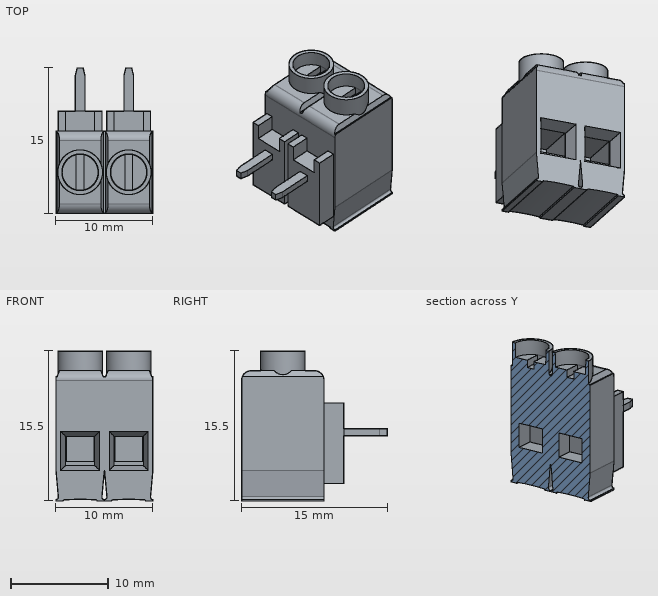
import cadquery as cq
import math


width = 10.0
depth = 8.5
body_height = 13.44
top_round = 1.0
pole_centers = (-width / 4, width / 4)

groove_top_width = 0.75
groove_floor_width = 0.23
groove_depth = 0.62

slit_top = 3.17
bulb_radius = 0.25
bulb_height = 0.42

arch_width = 3.55
arch_end_width = 3.37
arch_end_height = 0.12
arch_height = 0.19

entry_size = 4.0
entry_throat = 3.0
entry_depth = 1.5
entry_center_height = 5.18
chamber_width = 2.85
chamber_floor = 4.06
chamber_depth = 4.64

total_height = 15.45
collar_diameter = 4.6
bore_top_diameter = 3.79
bore_floor_diameter = 3.7
bore_depth = 1.58
driver_slot_width = 0.8
driver_slot_depth = 0.8

carrier_width = 4.53
carrier_depth = 2.04
carrier_bottom = 1.82
carrier_top = 10.12
channel_depth = 1.7

total_depth = 15.0
pin_width = 1.02
pin_tip_width = 0.62
pin_tip_length = 0.8
pin_bottom = 6.72
pin_thickness = 0.74


def box(x_center, x_size, y_start, y_size, z_start, z_size):
    """Box centred in X, starting at the given Y and Z."""
    return cq.Workplane("XY").box(x_size, y_size, z_size, centered=(True, False, False)).translate(
        (x_center, y_start, z_start)
    )


def through_depth(outline):
    """Extrude an XZ outline from the wire-entry face to the rear face."""
    return outline.close().extrude(-depth)


def top_groove(x):
    top = groove_top_width / 2
    floor = groove_floor_width / 2
    floor_height = body_height - groove_depth
    return through_depth(
        cq.Workplane("XZ").polyline(
            [
                (x - top, body_height),
                (x - floor, floor_height),
                (x + floor, floor_height),
                (x + top, body_height),
            ]
        )
    )


def relief_slit(x):
    wedge = through_depth(
        cq.Workplane("XZ").polyline(
            [
                (x, slit_top),
                (x - bulb_radius, bulb_height),
                (x + bulb_radius, bulb_height),
            ]
        )
    )
    bulb = cq.Workplane("XZ").center(x, bulb_height).circle(bulb_radius).extrude(-depth)
    return wedge.union(bulb)


def foot_arch(x):
    return through_depth(
        cq.Workplane("XZ")
        .moveTo(x - arch_width / 2, 0)
        .lineTo(x - arch_end_width / 2, arch_end_height)
        .threePointArc((x, arch_height), (x + arch_end_width / 2, arch_end_height))
        .lineTo(x + arch_width / 2, 0)
    )


def wire_entry(x):
    funnel = (
        cq.Workplane("XZ", origin=(x, 0, entry_center_height))
        .rect(entry_size, entry_size)
        .workplane(offset=-entry_depth)
        .rect(entry_throat, entry_throat)
        .loft(ruled=True)
    )
    chamber_top = entry_center_height + entry_throat / 2
    chamber = box(x, chamber_width, entry_depth, chamber_depth, chamber_floor, chamber_top - chamber_floor)
    return funnel.union(chamber)


def collar(x):
    start = body_height - groove_depth
    return (
        cq.Workplane("XY", origin=(x, depth / 2, start)).circle(collar_diameter / 2).extrude(total_height - start)
    )


def screw_recess(x):
    """Slightly conical bore down to the screw head, with the driver slot below it."""
    taper = math.degrees(math.atan2((bore_top_diameter - bore_floor_diameter) / 2, bore_depth))
    bore = (
        cq.Workplane("XY", origin=(x, depth / 2, total_height))
        .circle(bore_top_diameter / 2)
        .extrude(-bore_depth, taper=taper)
    )
    head_height = total_height - bore_depth
    head = (
        cq.Workplane("XY", origin=(x, depth / 2, head_height))
        .circle(bore_floor_diameter / 2)
        .extrude(-driver_slot_depth)
    )
    slot_bar = box(x, driver_slot_width, 0, depth, head_height - driver_slot_depth, driver_slot_depth)
    return bore.union(head.intersect(slot_bar))


def contact_carrier(x):
    block = box(x, carrier_width, depth, carrier_depth, carrier_bottom, carrier_top - carrier_bottom)
    channel = box(x, entry_throat, depth, carrier_depth, carrier_top - channel_depth, channel_depth)
    return block.cut(channel)


def solder_pin(x):
    root = depth + carrier_depth
    shoulder = total_depth - pin_tip_length
    return (
        cq.Workplane("XY", origin=(x, 0, pin_bottom))
        .polyline(
            [
                (-pin_width / 2, root),
                (-pin_width / 2, shoulder),
                (-pin_tip_width / 2, total_depth),
                (pin_tip_width / 2, total_depth),
                (pin_width / 2, shoulder),
                (pin_width / 2, root),
            ]
        )
        .close()
        .extrude(pin_thickness)
    )


housing = box(0, width, 0, depth, 0, body_height).edges("|X and >Z").fillet(top_round)

for x in (-width / 2, 0, width / 2):
    housing = housing.cut(top_groove(x)).cut(relief_slit(x))

for x in pole_centers:
    housing = housing.cut(foot_arch(x)).cut(wire_entry(x))
    housing = housing.union(collar(x)).cut(screw_recess(x))
    housing = housing.union(contact_carrier(x)).union(solder_pin(x))

result = housing.solids()